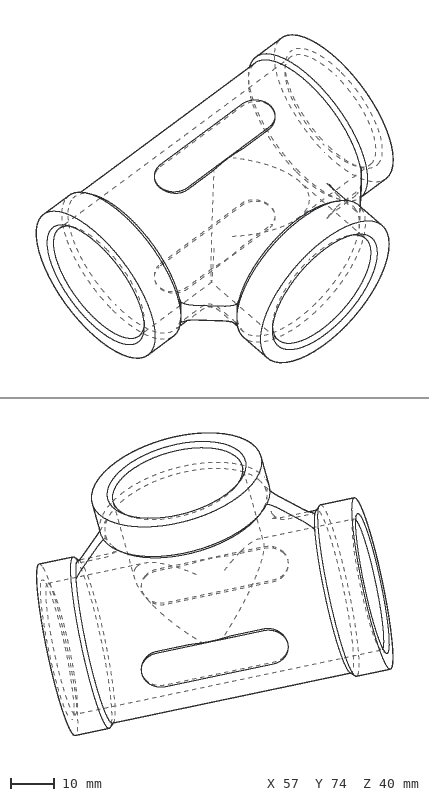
import cadquery as cq

RUN_LENGTH = 74.0
REACH = RUN_LENGTH / 2
COLLAR_DIAMETER = 40.0
BODY_DIAMETER = 38.0
BORE_DIAMETER = 30.55
COLLAR_LENGTH = 8.0
MOUTH_CHAMFER = 1.0

COLLAR_RADIUS = COLLAR_DIAMETER / 2
BODY_RADIUS = BODY_DIAMETER / 2
BORE_RADIUS = BORE_DIAMETER / 2
COLLAR_TAPER = COLLAR_RADIUS - BODY_RADIUS
BODY_REACH = REACH - COLLAR_LENGTH - COLLAR_TAPER

WEB_THICKNESS = 5.6
CORNER_FILLET = 2.95

PAD_LENGTH = 34.25
PAD_WIDTH = 9.0
PAD_RISE = 0.26

EDGE_MARGIN = 0.1

BRANCH_PLANE = cq.Plane(origin=(0, 0, 0), xDir=(0, 1, 0), normal=(1, 0, 0))
RUN_ENDS = [
    cq.Plane(origin=(0, 0, 0), xDir=(1, 0, 0), normal=(0, side, 0))
    for side in (1, -1)
]
OPENINGS = RUN_ENDS + [BRANCH_PLANE]


def cylinder(plane, radius, length):
    return cq.Workplane(plane).circle(radius).extrude(length)


def collar(plane):
    """Thick end band with a tapered step down to the body."""
    base = cq.Workplane(plane).workplane(offset=BODY_REACH)
    band = base.circle(COLLAR_RADIUS).extrude(REACH - BODY_REACH)
    return band.faces(cq.selectors.DirectionMinMaxSelector(plane.zDir, False)).chamfer(COLLAR_TAPER)


def bore(plane):
    """Through bore with a conical lead-in at the open end."""
    lead_in = cq.Solid.makeCone(
        BORE_RADIUS,
        BORE_RADIUS + MOUTH_CHAMFER,
        MOUTH_CHAMFER,
        plane.origin + plane.zDir * (REACH - MOUTH_CHAMFER),
        plane.zDir,
    )
    return cylinder(plane, BORE_RADIUS, REACH).union(cq.Workplane(lead_in))


def web_blank():
    """Flat plate filling both inner corners, before the sloping edges are cut."""
    return cq.Workplane("XY").box(
        BODY_REACH, 2 * BODY_REACH, WEB_THICKNESS, centered=(False, True, True)
    )


def pads():
    """Flat-faced plate with round ends, crossing the body from top to bottom."""
    height = BODY_DIAMETER + 2 * PAD_RISE
    return (
        cq.Workplane("XY", origin=(0, 0, -height / 2))
        .slot2D(PAD_LENGTH, PAD_WIDTH, 90)
        .extrude(height)
    )


def outer_corner(side):
    """Material outside the 45 degree edge of one web."""
    return (
        cq.Workplane("XY")
        .polyline([
            (BODY_REACH, side * BODY_RADIUS),
            (BODY_REACH, side * BODY_REACH),
            (BODY_RADIUS, side * BODY_REACH),
        ])
        .close()
        .extrude(BODY_RADIUS, both=True)
    )


core = cylinder(RUN_ENDS[0], BODY_RADIUS, BODY_REACH)
core = core.union(cylinder(RUN_ENDS[1], BODY_RADIUS, BODY_REACH))
core = core.union(cylinder(BRANCH_PLANE, BODY_RADIUS, BODY_REACH))
core = core.union(web_blank()).union(pads())

inner_limit = BODY_REACH - EDGE_MARGIN
corner_edges = cq.selectors.BoxSelector(
    (PAD_WIDTH / 2 + EDGE_MARGIN, -inner_limit, -BODY_RADIUS),
    (inner_limit, inner_limit, BODY_RADIUS),
)
tee = core.edges(corner_edges).fillet(CORNER_FILLET)

for side in (1, -1):
    tee = tee.cut(outer_corner(side))
for opening in OPENINGS:
    tee = tee.union(collar(opening))
for opening in OPENINGS:
    tee = tee.cut(bore(opening))

result = tee